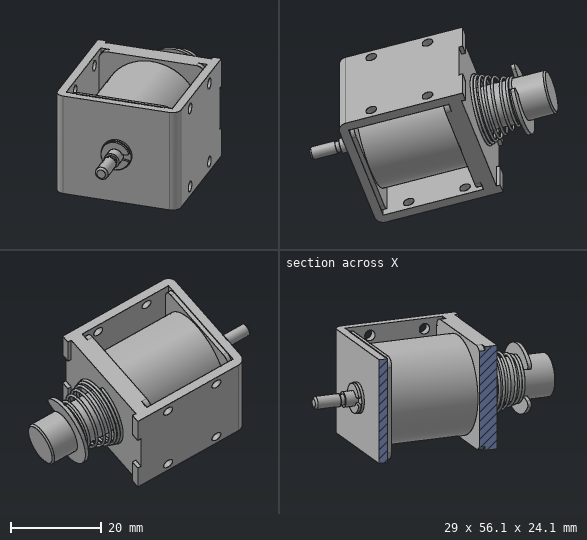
import cadquery as cq
import math


FRAME_WIDTH = 29.0
FRAME_HEIGHT = 24.1
WALL = 2.1
FRAME_CORNER_RADIUS = WALL
PLATE_REAR_Y = 28.4
PLATE_THICKNESS = 3.05
PLATE_FRONT_Y = PLATE_REAR_Y - PLATE_THICKNESS
TAB_LENGTH = 0.9
SIDE_REAR_Y = PLATE_REAR_Y + TAB_LENGTH
NOTCH_HEIGHT = 10.1
INNER_WIDTH = FRAME_WIDTH - 2 * WALL

MOUNT_HOLE_DIAMETER = 2.4
MOUNT_HOLE_Z = 9.65
MOUNT_HOLES_Y = (8.0, 21.1)

COIL_DIAMETER = 22.8
FLANGE_CORNER_RADIUS = 2.0
FRONT_FLANGE_WIDTH = 24.1
FRONT_FLANGE_HEIGHT = 23.8
FRONT_FLANGE_THICKNESS = 1.0
REAR_FLANGE_THICKNESS = 1.35

AXIS_X = 0.15
AXIS_Z = -0.15
PLUNGER_DIAMETER = 10.0
PLUNGER_REAR_Y = 45.4
PLUNGER_CHAMFER = 0.4
BORE_DIAMETER = 10.1
SHAFT_DIAMETER = 3.5
SHAFT_HOLE_DIAMETER = 3.8
NECK_DIAMETER = 2.5
TIP_DIAMETER = 3.0
TIP_END_DIAMETER = 2.0
NECK_REAR_Y = -3.65
NECK_FRONT_Y = -4.65
TIP_FRONT_Y = -10.7

WASHER_DIAMETER = 7.0
CLIP_DIAMETER = 6.75
RING_THICKNESS = 0.6
CLIP_SLOT_AXIS_WIDTH = 0.7
CLIP_SLOT_OUTER_WIDTH = 1.75
CLIP_TIP_RADIUS = 0.35

RETAINER_DIAMETER = 16.15
RETAINER_SLOT_AXIS_WIDTH = 3.9
RETAINER_SLOT_OUTER_WIDTH = 8.5
RETAINER_THICKNESS = 0.9
RETAINER_TIP_RADIUS = 0.9
RETAINER_FRONT_Y = 37.9

WIRE_DIAMETER = 0.6
SPRING_SMALL_RADIUS = 5.35
SPRING_LARGE_RADIUS = 8.0
TURN_PITCHES = (0.7, 1.05, 1.9, 1.55, 1.3, 1.0, 0.7, 0.7)
SPRING_LENGTH = sum(TURN_PITCHES)
SPRING_SEAT_GAP = 0.05
SPRING_REAR_Y = PLATE_REAR_Y + SPRING_SEAT_GAP + WIRE_DIAMETER / 2 + SPRING_LENGTH
POINTS_PER_TURN = 8


def cylinder(diameter, front_y, rear_y, x=0.0, z=0.0):
    """Cylinder along Y between two Y positions."""
    plane = cq.Workplane("XZ", origin=(x, rear_y, z))
    return plane.circle(diameter / 2).extrude(rear_y - front_y)


def axis_cylinder(diameter, front_y, rear_y):
    """Cylinder on the plunger axis."""
    return cylinder(diameter, front_y, rear_y, AXIS_X, AXIS_Z)


def block(width, front_y, rear_y, height):
    """Box centred on X and Z between two Y positions."""
    middle_y = (front_y + rear_y) / 2
    return cq.Workplane("XY").box(width, rear_y - front_y, height).translate((0, middle_y, 0))


def make_frame():
    """Closed rectangular frame with side tabs, notches and mounting holes."""
    frame = block(FRAME_WIDTH, 0, SIDE_REAR_Y, FRAME_HEIGHT)
    frame = frame.edges("|Z and <Y").fillet(FRAME_CORNER_RADIUS)
    frame = frame.cut(block(INNER_WIDTH, WALL, PLATE_FRONT_Y, FRAME_HEIGHT))
    frame = frame.cut(block(INNER_WIDTH, PLATE_REAR_Y, SIDE_REAR_Y, FRAME_HEIGHT))
    frame = frame.cut(block(FRAME_WIDTH, PLATE_REAR_Y, SIDE_REAR_Y, NOTCH_HEIGHT))
    hole_places = [(y, z) for y in MOUNT_HOLES_Y for z in (-MOUNT_HOLE_Z, MOUNT_HOLE_Z)]
    holes = (
        cq.Workplane("YZ")
        .pushPoints(hole_places)
        .circle(MOUNT_HOLE_DIAMETER / 2)
        .extrude(FRAME_WIDTH / 2, both=True)
    )
    return frame.cut(holes)


def make_flange(width, height, front_y, rear_y):
    """Coil end flange with rounded corners."""
    return block(width, front_y, rear_y, height).edges("|Y").fillet(FLANGE_CORNER_RADIUS)


def make_housing():
    """Frame and coil in one body, bored for the plunger and its shaft."""
    front_flange = make_flange(
        FRONT_FLANGE_WIDTH, FRONT_FLANGE_HEIGHT, WALL, WALL + FRONT_FLANGE_THICKNESS
    )
    rear_flange = make_flange(
        INNER_WIDTH, FRAME_HEIGHT, PLATE_FRONT_Y - REAR_FLANGE_THICKNESS, PLATE_FRONT_Y
    )
    coil = cylinder(COIL_DIAMETER, WALL, PLATE_FRONT_Y)
    housing = make_frame().union(front_flange).union(rear_flange).union(coil)
    housing = housing.cut(axis_cylinder(BORE_DIAMETER, WALL, PLATE_REAR_Y))
    return housing.cut(axis_cylinder(SHAFT_HOLE_DIAMETER, 0, WALL))


def slotted_ring(diameter, front_y, rear_y, axis_width, outer_width, tip_radius):
    """Disc on the plunger axis with a flared slot open toward +X and rounded tips."""
    disc = axis_cylinder(diameter, front_y, rear_y)
    slot = (
        cq.Workplane("XZ", origin=(AXIS_X, rear_y, AXIS_Z))
        .moveTo(0, -axis_width / 2)
        .lineTo(diameter / 2, -outer_width / 2)
        .lineTo(diameter / 2, outer_width / 2)
        .lineTo(0, axis_width / 2)
        .close()
        .extrude(rear_y - front_y)
    )
    return disc.cut(slot).edges("|Y and >X").fillet(tip_radius)


def make_clip():
    """Retaining clip on the shaft, in front of the washer."""
    return slotted_ring(
        CLIP_DIAMETER,
        -2 * RING_THICKNESS,
        -RING_THICKNESS,
        CLIP_SLOT_AXIS_WIDTH,
        CLIP_SLOT_OUTER_WIDTH,
        CLIP_TIP_RADIUS,
    )


def make_retainer():
    """Rear ring that the small end of the spring rests on."""
    return slotted_ring(
        RETAINER_DIAMETER,
        RETAINER_FRONT_Y,
        RETAINER_FRONT_Y + RETAINER_THICKNESS,
        RETAINER_SLOT_AXIS_WIDTH,
        RETAINER_SLOT_OUTER_WIDTH,
        RETAINER_TIP_RADIUS,
    )


def make_plunger():
    """Plunger with its shaft, washer, clip and spring retainer."""
    plunger = axis_cylinder(PLUNGER_DIAMETER, WALL, PLUNGER_REAR_Y)
    plunger = plunger.faces(">Y").chamfer(PLUNGER_CHAMFER)
    tip = axis_cylinder(TIP_DIAMETER, TIP_FRONT_Y, NECK_FRONT_Y)
    tip = tip.faces("<Y").chamfer((TIP_DIAMETER - TIP_END_DIAMETER) / 2)
    plunger = plunger.union(axis_cylinder(SHAFT_DIAMETER, NECK_REAR_Y, WALL))
    plunger = plunger.union(axis_cylinder(NECK_DIAMETER, NECK_FRONT_Y, NECK_REAR_Y))
    plunger = plunger.union(tip)
    plunger = plunger.union(axis_cylinder(WASHER_DIAMETER, -RING_THICKNESS, 0))
    return plunger.union(make_clip()).union(make_retainer())


def spring_point(distance, turn):
    """Wire centre at a distance from the rear end; the first turn is cylindrical, the rest conical."""
    growth = (SPRING_LARGE_RADIUS - SPRING_SMALL_RADIUS) / (SPRING_LENGTH - TURN_PITCHES[0])
    radius = SPRING_SMALL_RADIUS + growth * max(0, distance - TURN_PITCHES[0])
    angle = 2 * math.pi * turn
    x = AXIS_X + radius * math.sin(angle)
    z = AXIS_Z + radius * math.cos(angle)
    return cq.Vector(x, SPRING_REAR_Y - distance, z)


def spring_centreline():
    """Points along the wire, starting above the axis at the rear end."""
    points = []
    turn_start = 0
    for pitch in TURN_PITCHES:
        for step in range(POINTS_PER_TURN):
            turn = step / POINTS_PER_TURN
            points.append(spring_point(turn_start + pitch * turn, turn))
        turn_start += pitch
    points.append(spring_point(SPRING_LENGTH, 1))
    return points


def make_spring():
    """Conical compression spring with closed end turns."""
    path = cq.Edge.makeSpline(spring_centreline())
    start = cq.Plane(origin=path.startPoint(), xDir=(0, 1, 0), normal=path.tangentAt(0))
    profile = cq.Workplane(start).circle(WIRE_DIAMETER / 2)
    return profile.sweep(cq.Workplane(obj=path), isFrenet=True)


housing = make_housing().solids()
plunger = make_plunger().solids()
spring = make_spring()
result = cq.Compound.makeCompound([housing.val(), plunger.val(), spring.val()])